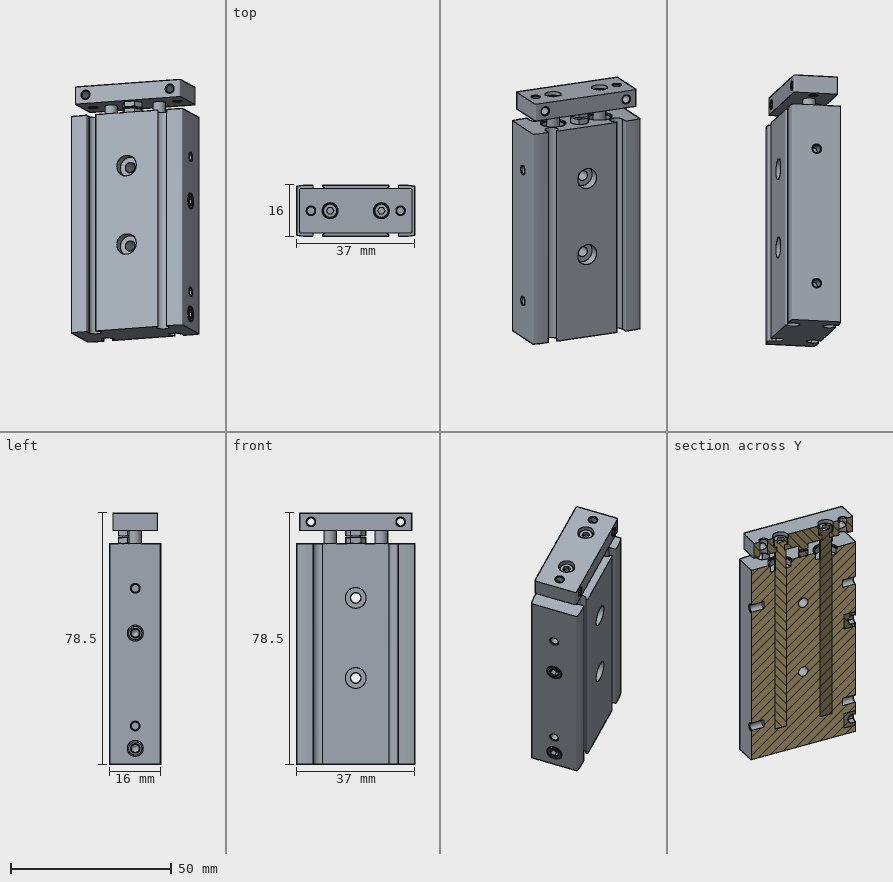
import cadquery as cq
import math


HOUSING_WIDTH = 37.0
HOUSING_DEPTH = 16.0
HOUSING_HEIGHT = 69.0
CROWN_START = 15.4
CROWN_DROP = 0.3
CORNER_RADIUS = 0.25
CROWN_END = HOUSING_WIDTH / 2 - CORNER_RADIUS

GROOVE_X = 11.2
GROOVE_DIAMETER = 4.0
GROOVE_CENTRE_DEPTH = 2.3
GROOVE_OUTER_EDGE = 13.3
GROOVE_INNER_EDGE = 10.35
GROOVE_MOUTH_RADIUS = 0.25

MOUNT_HEIGHTS = (27.0, 52.0)
MOUNT_DIAMETER = 3.2
MOUNT_BORE_DIAMETER = 6.5
MOUNT_BORE_DEPTH = 3.3

M3_DIAMETER = 3.0
M3_DRILL_DIAMETER = 2.46
M3_CHAMFER = (M3_DIAMETER - M3_DRILL_DIAMETER) / 2
SIDE_HOLE_HEIGHTS = (12.0, 55.0)
SIDE_HOLE_DEPTH = 4.5

PLUG_HEIGHTS = (5.0, 41.0)
PLUG_DIAMETER = 5.0
PLUG_FACE_DIAMETER = 4.13
PLUG_CHAMFER_ANGLE = 30.0
PLUG_LENGTH = 4.0
PLUG_SOCKET_ACROSS_FLATS = 2.5
PLUG_SOCKET_DEPTH = 2.0
PLUG_SOCKET_MOUTH_DIAMETER = 3.0
DRILL_POINT_ANGLE = 118.0

RIM_DIAMETER = 8.0
RIM_DEPTH = 0.5
RECESS_DIAMETER = 7.0
RECESS_DEPTH = 2.5

PLATE_WIDTH = 35.0
PLATE_DEPTH = 14.0
PLATE_THICKNESS = 5.5
PLATE_GAP = 4.0
PLATE_CORNER_RADIUS = 0.5
PLATE_HOLE_X = 14.0
PLATE_BOTTOM = HOUSING_HEIGHT + PLATE_GAP
PLATE_TOP = PLATE_BOTTOM + PLATE_THICKNESS

ROD_X = 8.0
ROD_DIAMETER = 4.0
ROD_INSERTION = 60.0
SCREW_DIAMETER = 2.5
SCREW_HEAD_DIAMETER = 4.5
SCREW_HEAD_HEIGHT = 2.5
SCREW_HEAD_CHAMFER = 0.2
SCREW_HEAD_RECESS = 1.0
SCREW_BORE_DIAMETER = 5.0
SCREW_BORE_DEPTH = SCREW_HEAD_HEIGHT + SCREW_HEAD_RECESS
SCREW_SOCKET_ACROSS_FLATS = 2.0
SCREW_SOCKET_DEPTH = 1.2

STOP_Y = 2.5
HEX_ACROSS_FLATS = 5.5
BOLT_HEAD_HEIGHT = 1.8
NUT_HEIGHT = 1.7
HEX_CHAMFER_ANGLE = 30.0


def cylinder(diameter, height, x, y, z):
    """Upright cylinder standing on height z."""
    return cq.Workplane("XY", origin=(x, y, z)).circle(diameter / 2).extrude(height)


def revolved(profile):
    """Turn a closed (radius, height) profile around Z."""
    return cq.Workplane("XZ").polyline(profile).close().revolve(360, (0, 0, 0), (0, 1, 0))


def corner_diameter(across_flats):
    return across_flats / math.cos(math.radians(30))


def m3_cutter(depth, chamfer_far_end=False):
    """M3 hole along +Z from the origin, chamfered at its mouth and, if asked, at its far end."""
    drill = M3_DRILL_DIAMETER / 2
    mouth = M3_DIAMETER / 2
    profile = [(0, 0), (mouth, 0), (drill, M3_CHAMFER)]
    if chamfer_far_end:
        profile += [(drill, depth - M3_CHAMFER), (mouth, depth)]
    else:
        profile += [(drill, depth)]
    return revolved(profile + [(0, depth)])


def on_side_face(shape, side, z):
    """Turn a shape along +Z to point into the housing's -X (side -1) or +X (side +1) face."""
    return shape.rotate((0, 0, 0), (0, 1, 0), -90 * side).translate((side * HOUSING_WIDTH / 2, 0, z))


def housing_block():
    half_width = HOUSING_WIDTH / 2
    half_depth = HOUSING_DEPTH / 2
    run = CROWN_END - CROWN_START
    crown_radius = (run ** 2 + CROWN_DROP ** 2) / (2 * CROWN_DROP)
    crown_end_y = half_depth - CROWN_DROP
    half_angle = math.asin(run / crown_radius) / 2
    crown_middle = (
        CROWN_START + crown_radius * math.sin(half_angle),
        half_depth - crown_radius * (1 - math.cos(half_angle)),
    )
    quarter = (
        cq.Workplane("XY")
        .lineTo(0, half_depth)
        .lineTo(CROWN_START, half_depth)
        .threePointArc(crown_middle, (CROWN_END, crown_end_y))
        .radiusArc((half_width, crown_end_y - CORNER_RADIUS), CORNER_RADIUS)
        .lineTo(half_width, 0)
        .close()
        .extrude(HOUSING_HEIGHT)
    )
    half = quarter.union(quarter.mirror("YZ"))
    return half.union(half.mirror("XZ")).clean()


def groove_cutter():
    """Groove at +X, -Y: a round channel reached through a narrower opening with rounded edges."""
    centre_y = GROOVE_CENTRE_DEPTH - HOUSING_DEPTH / 2
    channel = cylinder(GROOVE_DIAMETER, HOUSING_HEIGHT, GROOVE_X, centre_y, 0)
    front = -HOUSING_DEPTH / 2
    opening = (
        cq.Workplane("XY")
        .moveTo(GROOVE_INNER_EDGE, centre_y)
        .lineTo(GROOVE_INNER_EDGE, front + GROOVE_MOUTH_RADIUS)
        .radiusArc((GROOVE_INNER_EDGE - GROOVE_MOUTH_RADIUS, front), GROOVE_MOUTH_RADIUS)
        .lineTo(GROOVE_OUTER_EDGE + GROOVE_MOUTH_RADIUS, front)
        .radiusArc((GROOVE_OUTER_EDGE, front + GROOVE_MOUTH_RADIUS), GROOVE_MOUTH_RADIUS)
        .lineTo(GROOVE_OUTER_EDGE, centre_y)
        .close()
        .extrude(HOUSING_HEIGHT)
    )
    return channel.union(opening)


def mount_cutter(z):
    """Through hole along Y with a counterbore in the front and back faces."""
    half_depth = HOUSING_DEPTH / 2
    bore_floor = half_depth - MOUNT_BORE_DEPTH
    half = revolved([
        (0, 0),
        (MOUNT_DIAMETER / 2, 0),
        (MOUNT_DIAMETER / 2, bore_floor),
        (MOUNT_BORE_DIAMETER / 2, bore_floor),
        (MOUNT_BORE_DIAMETER / 2, half_depth),
        (0, half_depth),
    ])
    both = half.union(half.mirror("XY"))
    return both.rotate((0, 0, 0), (1, 0, 0), 90).translate((0, 0, z))


def rod_hole_cutter():
    """Blind rod hole below the stepped recess in the housing's top face."""
    hole_floor = HOUSING_HEIGHT - ROD_INSERTION
    hole = cylinder(ROD_DIAMETER, ROD_INSERTION, 0, 0, hole_floor)
    recess = cylinder(RECESS_DIAMETER, RECESS_DEPTH, 0, 0, HOUSING_HEIGHT - RECESS_DEPTH)
    rim = cylinder(RIM_DIAMETER, RIM_DEPTH, 0, 0, HOUSING_HEIGHT - RIM_DEPTH)
    return hole.union(recess).union(rim)


def make_housing():
    housing = housing_block()
    front_right = groove_cutter()
    front_pair = front_right.union(front_right.mirror("YZ"))
    housing = housing.cut(front_pair).cut(front_pair.mirror("XZ"))
    for z in MOUNT_HEIGHTS:
        housing = housing.cut(mount_cutter(z))
    for side in (-1, 1):
        for z in SIDE_HOLE_HEIGHTS:
            housing = housing.cut(on_side_face(m3_cutter(SIDE_HOLE_DEPTH), side, z))
        housing = housing.cut(rod_hole_cutter().translate((side * ROD_X, 0, 0)))
    port = cylinder(PLUG_DIAMETER, PLUG_LENGTH, 0, 0, 0)
    for z in PLUG_HEIGHTS:
        housing = housing.cut(on_side_face(port, -1, z))
    return housing


def make_plate():
    """End plate in one piece with the stop bolt and lock nut below it."""
    plate = (
        cq.Workplane("XY", origin=(0, 0, PLATE_BOTTOM))
        .box(PLATE_WIDTH, PLATE_DEPTH, PLATE_THICKNESS, centered=(True, True, False))
        .edges("|Z")
        .fillet(PLATE_CORNER_RADIUS)
    )
    down_hole = m3_cutter(PLATE_THICKNESS, chamfer_far_end=True)
    cross_hole = m3_cutter(PLATE_DEPTH, chamfer_far_end=True).rotate((0, 0, 0), (1, 0, 0), 90)
    for side in (-1, 1):
        hole_x = side * PLATE_HOLE_X
        plate = plate.cut(down_hole.translate((hole_x, 0, PLATE_BOTTOM)))
        plate = plate.cut(cross_hole.translate((hole_x, PLATE_DEPTH / 2, PLATE_BOTTOM + PLATE_THICKNESS / 2)))
        rod_x = side * ROD_X
        plate = plate.cut(cylinder(SCREW_DIAMETER, PLATE_THICKNESS, rod_x, 0, PLATE_BOTTOM))
        plate = plate.cut(
            cylinder(SCREW_BORE_DIAMETER, SCREW_BORE_DEPTH, rod_x, 0, PLATE_TOP - SCREW_BORE_DEPTH)
        )
    return plate.union(stop_bolt())


def make_rod(x):
    """Rod with the socket-head screw at its upper end."""
    head_top = PLATE_TOP - SCREW_HEAD_RECESS
    head_bottom = head_top - SCREW_HEAD_HEIGHT
    bar = cylinder(ROD_DIAMETER, ROD_INSERTION + PLATE_GAP, x, 0, HOUSING_HEIGHT - ROD_INSERTION)
    shank = cylinder(SCREW_DIAMETER, head_bottom - PLATE_BOTTOM, x, 0, PLATE_BOTTOM)
    head = (
        cylinder(SCREW_HEAD_DIAMETER, SCREW_HEAD_HEIGHT, x, 0, head_bottom)
        .faces(">Z")
        .edges()
        .chamfer(SCREW_HEAD_CHAMFER)
    )
    socket = (
        cq.Workplane("XY", origin=(x, 0, head_top))
        .polygon(6, corner_diameter(SCREW_SOCKET_ACROSS_FLATS))
        .extrude(-SCREW_SOCKET_DEPTH)
    )
    return bar.union(shank).union(head).cut(socket)


def hexagon(height, z):
    """Hexagon on the stop axis, its lower corners turned to a shallow cone."""
    flat_radius = HEX_ACROSS_FLATS / 2
    corner_radius = corner_diameter(HEX_ACROSS_FLATS) / 2
    cone_rise = (corner_radius - flat_radius) * math.tan(math.radians(HEX_CHAMFER_ANGLE))
    prism = cq.Workplane("XY").polygon(6, 2 * corner_radius).extrude(height)
    envelope = revolved([
        (0, 0),
        (flat_radius, 0),
        (corner_radius, cone_rise),
        (corner_radius, height),
        (0, height),
    ])
    return prism.intersect(envelope).translate((0, STOP_Y, z))


def stop_bolt():
    """Bolt with its head resting on the housing, and the nut locking it to the plate."""
    head = hexagon(BOLT_HEAD_HEIGHT, HOUSING_HEIGHT)
    shank_length = PLATE_GAP - BOLT_HEAD_HEIGHT
    shank = cylinder(M3_DIAMETER, shank_length, 0, STOP_Y, HOUSING_HEIGHT + BOLT_HEAD_HEIGHT)
    nut = hexagon(NUT_HEIGHT, PLATE_BOTTOM - NUT_HEIGHT)
    return head.union(shank).union(nut)


def make_plug(z):
    """Flush set screw with a chamfered face and a drilled hexagon socket with a chamfered mouth."""
    radius = PLUG_DIAMETER / 2
    face_radius = PLUG_FACE_DIAMETER / 2
    chamfer_depth = (radius - face_radius) * math.tan(math.radians(PLUG_CHAMFER_ANGLE))
    screw = revolved([
        (0, 0),
        (face_radius, 0),
        (radius, chamfer_depth),
        (radius, PLUG_LENGTH),
        (0, PLUG_LENGTH),
    ])
    hexagon_socket = (
        cq.Workplane("XY")
        .polygon(6, corner_diameter(PLUG_SOCKET_ACROSS_FLATS))
        .extrude(PLUG_SOCKET_DEPTH)
    )
    mouth = PLUG_SOCKET_MOUTH_DIAMETER / 2
    drill = PLUG_SOCKET_ACROSS_FLATS / 2
    point_length = drill / math.tan(math.radians(DRILL_POINT_ANGLE / 2))
    drilled_core = revolved([
        (0, 0),
        (mouth, 0),
        (drill, mouth - drill),
        (drill, PLUG_SOCKET_DEPTH),
        (0, PLUG_SOCKET_DEPTH + point_length),
    ])
    return on_side_face(screw.cut(hexagon_socket).cut(drilled_core), -1, z)


housing = make_housing()
plate = make_plate()
rods = [make_rod(side * ROD_X) for side in (-1, 1)]
plugs = [make_plug(z) for z in PLUG_HEIGHTS]

result = cq.Compound.makeCompound([
    housing.val(),
    plate.val(),
    *[rod.val() for rod in rods],
    *[plug.val() for plug in plugs],
])